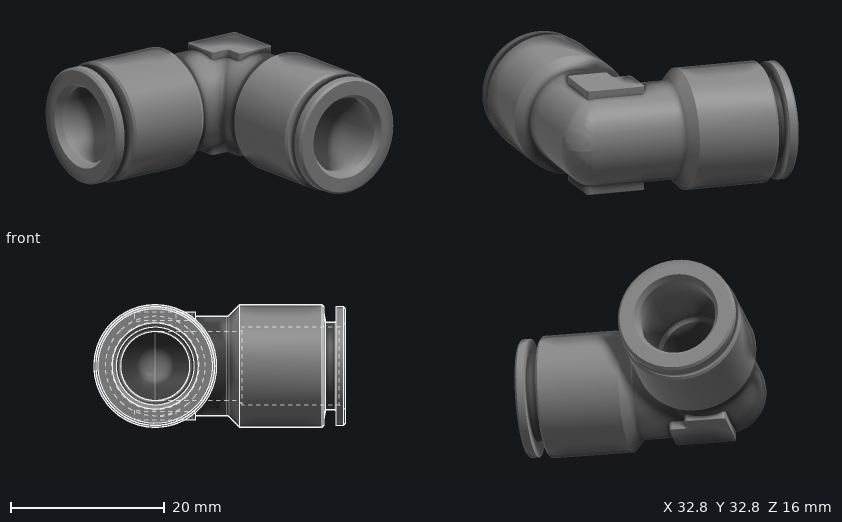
import cadquery as cq
import math

overall_size = 32.8
socket_radius = 8.0
leg_length = overall_size - socket_radius

pipe_radius = 13.0 / 2
outer_corner_radius = 3.1
inner_corner_radius = 0.5

shoulder_end = 11.0
shoulder_start = shoulder_end - (socket_radius - pipe_radius)
shoulder_fillet = 0.5
shoulder_angle = math.radians(45)
fillet_setback = shoulder_fillet * math.tan(shoulder_angle / 2)
pipe_end = shoulder_start - fillet_setback
socket_end = 22.0
socket_chamfer = 0.3
end_cone_radius = 6.9
end_cone_height = 0.2

neck_radius = 11.4 / 2
neck_fillet = 0.13
flange_radius = 15.5 / 2
flange_start = 23.52
flange_chamfer = 0.3

bore_radius = 9.0 / 2
tube_radius = 10.15 / 2
mouth_radius = 5.6
mouth_depth = 0.85
tube_stop = shoulder_end
tube_stop_cone = 0.33

pad_near = 2.72
pad_far = 5.25
pad_height = 7.05
pad_corner_radius = 0.45
pad_edge_fillet = 0.1


def both_legs(leg):
    """Join a leg on +X with its copy on -Y."""
    return leg.union(leg.rotate((0, 0, 0), (0, 0, 1), -90))


def make_elbow(pads):
    """Mitred pipe bend with a rounded mitre, joined to the pads.

    The mitre fades out under the pads, so their column is cut out first: each
    mitre edge then ends at its wall and can be rounded on its own.
    """
    path = cq.Workplane("XY").polyline([(pipe_end, 0), (0, 0), (0, -pipe_end)])
    elbow = (
        cq.Workplane("YZ", origin=(pipe_end, 0, 0))
        .circle(pipe_radius)
        .sweep(path, transition="right")
        .cut(pads)
    )
    outer_mitre = cq.selectors.NearestToPointSelector((-pipe_radius, pipe_radius, 0))
    inner_mitre = cq.selectors.NearestToPointSelector((pipe_radius, -pipe_radius, 0))
    elbow = elbow.edges(outer_mitre).fillet(outer_corner_radius)
    elbow = elbow.edges(inner_mitre).fillet(inner_corner_radius)
    return elbow.union(pads)


def make_socket():
    """Socket and release collar, turned about the X axis."""
    fillet_top = (
        shoulder_start + fillet_setback * math.cos(shoulder_angle),
        pipe_radius + fillet_setback * math.sin(shoulder_angle),
    )
    profile = (
        cq.Workplane("XY")
        .moveTo(pipe_end, 0)
        .lineTo(pipe_end, pipe_radius)
        .radiusArc(fillet_top, -shoulder_fillet)
        .lineTo(shoulder_end, socket_radius)
        .lineTo(socket_end - socket_chamfer, socket_radius)
        .lineTo(socket_end, socket_radius - socket_chamfer)
        .lineTo(socket_end, end_cone_radius)
        .lineTo(socket_end + end_cone_height, neck_radius)
        .lineTo(flange_start - neck_fillet, neck_radius)
        .radiusArc((flange_start, neck_radius + neck_fillet), -neck_fillet)
        .lineTo(flange_start, flange_radius)
        .lineTo(leg_length - flange_chamfer, flange_radius)
        .lineTo(leg_length, flange_radius - flange_chamfer)
        .lineTo(leg_length, 0)
        .close()
    )
    return profile.revolve(360, (0, 0, 0), (1, 0, 0))


def make_bore():
    """Tube hole with a conical mouth, a conical stop and a narrower passage to the bend, about the X axis."""
    profile = (
        cq.Workplane("XY")
        .lineTo(0, bore_radius)
        .lineTo(tube_stop, bore_radius)
        .lineTo(tube_stop + tube_stop_cone, tube_radius)
        .lineTo(leg_length - mouth_depth, tube_radius)
        .lineTo(leg_length, mouth_radius)
        .lineTo(leg_length, 0)
        .close()
    )
    return profile.revolve(360, (0, 0, 0), (1, 0, 0))


def make_pads():
    """Raised L-shaped pads, one solid from the lower face to the upper one."""
    pads = (
        cq.Workplane("XY")
        .workplane(offset=-pad_height)
        .moveTo(-pad_near, pad_near)
        .lineTo(pad_far, pad_near)
        .lineTo(pad_far, -pad_near)
        .lineTo(pad_near, -pad_near)
        .lineTo(pad_near, -pad_far)
        .lineTo(-pad_near, -pad_far)
        .close()
        .extrude(2 * pad_height)
    )
    pads = pads.edges("|Z").fillet(pad_corner_radius)
    return pads.faces("<Z or >Z").edges().fillet(pad_edge_fillet)


outside = make_elbow(make_pads()).union(both_legs(make_socket()))
bend = cq.Workplane("XY").sphere(bore_radius)
result = outside.cut(both_legs(make_bore())).cut(bend)